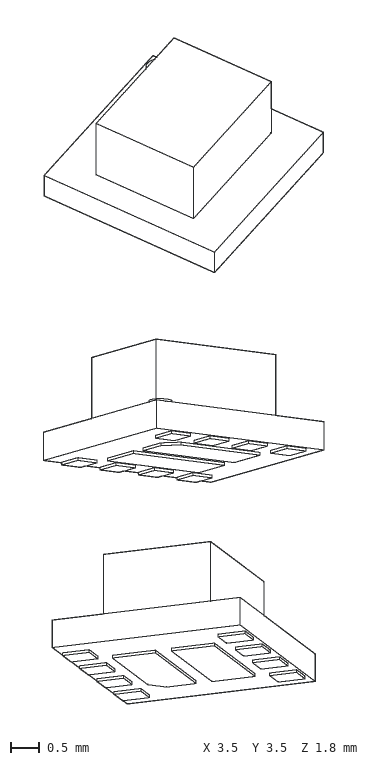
import cadquery as cq

board_side = 3.5
board_thickness = 0.5

block_length_x = 2.0
block_length_y = 2.5
block_height = 1.25

marker_diameter = 0.4
marker_height = 0.05

edge_gap = 0.05
pad_thickness = 0.05
side_pad_length = 0.5
side_pad_width = 0.4
side_pad_pitch = 0.8
side_pads_per_row = 4
center_pad_width = 0.8
center_pad_length = 1.9
center_pad_spacing = 1.1
corner_chamfer = 0.25


def make_board():
    return cq.Workplane("XY").box(
        board_side, board_side, board_thickness, centered=(True, True, False)
    )


def make_block():
    return (
        cq.Workplane("XY", origin=(0, 0, board_thickness))
        .rect(block_length_x, block_length_y)
        .extrude(block_height)
    )


def make_marker():
    offset = board_side / 2 - edge_gap - marker_diameter / 2
    return (
        cq.Workplane("XY", origin=(-offset, offset, board_thickness))
        .circle(marker_diameter / 2)
        .extrude(marker_height)
    )


def make_side_pads():
    """Two rows of equal pads along the -X and +X edges."""
    row_spacing = board_side - 2 * edge_gap - side_pad_length
    return (
        cq.Workplane("XY")
        .rarray(row_spacing, side_pad_pitch, 2, side_pads_per_row)
        .rect(side_pad_length, side_pad_width)
        .extrude(-pad_thickness)
    )


def make_center_pad(center_x):
    return (
        cq.Workplane("XY", origin=(center_x, 0, 0))
        .rect(center_pad_width, center_pad_length)
        .extrude(-pad_thickness)
    )


keyed_pad = (
    make_center_pad(-center_pad_spacing / 2)
    .edges("|Z").edges("<X").edges(">Y")
    .chamfer(corner_chamfer)
)
plain_pad = make_center_pad(center_pad_spacing / 2)

result = (
    make_board()
    .union(make_block())
    .union(make_marker())
    .union(make_side_pads())
    .union(keyed_pad)
    .union(plain_pad)
)